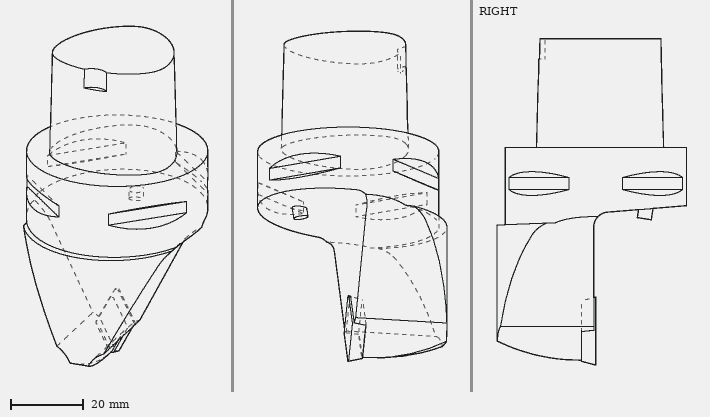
import cadquery as cq
import math

SHANK_HEIGHT = 30.0
SHANK_RADIUS = 17.55
SHANK_LOBE = 1.2
SHANK_TAPER = 0.025
SHANK_POINTS = 48
KEYWAY_RADIUS = 4.4
KEYWAY_DEPTH = 5.6
KEYWAY_BACK_Y = -13.95

FLANGE_RADIUS = 25.0
FLANGE_HEIGHT = 20.8
GROOVE_Z = -10.0
GROOVE_FLOOR_DISTANCE = 22.1
GROOVE_FLOOR_HEIGHT = 3.3
GROOVE_MOUTH_HEIGHT = 6.6

NECK_OFFSET_Y = -2.25
LEDGE_DROP = 0.6
LEDGE_START_Y = -11.25
FACE_Y = -0.5
SHOULDER_Z = -19.1
FLANK_TOP = (19.8, -24.1)
FLANK_BOTTOM = (7.0, -49.4)
NOSE_TOP_Z = -53.0
NOSE_APEX_Z = -58.7
RELIEF_START_Y = -4.5
RELIEF_BACK_Z = -53.4

UNDERSIDE_BACK_Z = -16.1
UNDERSIDE_FRONT = (3.15, -17.9)
UNDERSIDE_ARC_END_Z = -21.7

NOZZLE_DIAMETER = 4.0
NOZZLE_Y = 13.8
NOZZLE_LENGTH = 2.7
NOZZLE_ROOT = 0.9
NOZZLE_TILT = 9.0

INSERT_POINT_ANGLE = 55.0
INSERT_CIRCLE = 9.5
INSERT_THICKNESS = 4.0
INSERT_CLEARANCE = 7.0
INSERT_CORNER_RADIUS = 0.8
TIP_Z = SHANK_HEIGHT - 90.0

HALF_POINT = math.radians(INSERT_POINT_ANGLE / 2)
MARGIN = 9.0


def lobed_wire(mean_radius, z):
    """Three-lobed outline with one lobe towards +Y, drawn from its support function."""
    points = []
    for i in range(SHANK_POINTS):
        angle = 2 * math.pi * i / SHANK_POINTS
        phase = 3 * (angle - math.pi / 2)
        support = mean_radius + SHANK_LOBE * math.cos(phase)
        slope = -3 * SHANK_LOBE * math.sin(phase)
        x = support * math.cos(angle) - slope * math.sin(angle)
        y = support * math.sin(angle) + slope * math.cos(angle)
        points.append(cq.Vector(x, y, z))
    return cq.Wire.assembleEdges([cq.Edge.makeSpline(points, periodic=True)])


def make_shank():
    top_radius = SHANK_RADIUS - SHANK_TAPER * SHANK_HEIGHT
    wires = [lobed_wire(SHANK_RADIUS, 0), lobed_wire(top_radius, SHANK_HEIGHT)]
    shank = cq.Workplane(cq.Solid.makeLoft(wires, True))
    keyway = (
        cq.Workplane("XY", origin=(0, KEYWAY_BACK_Y - KEYWAY_RADIUS, SHANK_HEIGHT - KEYWAY_DEPTH))
        .circle(KEYWAY_RADIUS)
        .extrude(KEYWAY_DEPTH + MARGIN)
    )
    return shank.cut(keyway)


def gripper_groove(angle):
    """Straight groove with sloping walls, cut across the flange rim."""
    depth = FLANGE_RADIUS - GROOVE_FLOOR_DISTANCE
    floor = GROOVE_FLOOR_HEIGHT / 2
    mouth = GROOVE_MOUTH_HEIGHT / 2
    return (
        cq.Workplane("XZ", origin=(GROOVE_FLOOR_DISTANCE, 0, GROOVE_Z))
        .polyline([(0, -floor), (depth, -mouth), (depth, mouth), (0, floor)])
        .close()
        .extrude(FLANGE_RADIUS, both=True)
        .rotate((0, 0, 0), (0, 0, 1), angle)
    )


def front_envelope():
    """V-shaped outline, extruded through the full depth in Y."""
    half_width = FLANGE_RADIUS + MARGIN
    nose_x = (NOSE_TOP_Z - NOSE_APEX_Z) * math.tan(HALF_POINT)
    half = (
        cq.Workplane("XZ")
        .moveTo(0, 0)
        .lineTo(0, NOSE_APEX_Z)
        .lineTo(nose_x, NOSE_TOP_Z)
        .tangentArcPoint(FLANK_BOTTOM, relative=False)
        .lineTo(*FLANK_TOP)
        .tangentArcPoint((FLANGE_RADIUS, SHOULDER_Z), relative=False)
        .lineTo(half_width, SHOULDER_Z)
        .lineTo(half_width, 0)
        .close()
        .extrude(2 * FLANGE_RADIUS, both=True)
    )
    return half.union(half.mirror("YZ"))


def side_envelope():
    """Side outline: sloped underside, flat front face and curved relief under the nose."""
    back_y = NECK_OFFSET_Y - FLANGE_RADIUS
    return (
        cq.Workplane("YZ")
        .moveTo(back_y, 0)
        .lineTo(FLANGE_RADIUS, 0)
        .lineTo(FLANGE_RADIUS, UNDERSIDE_BACK_Z)
        .lineTo(*UNDERSIDE_FRONT)
        .tangentArcPoint((FACE_Y, UNDERSIDE_ARC_END_Z), relative=False)
        .lineTo(FACE_Y, NOSE_APEX_Z)
        .lineTo(RELIEF_START_Y, NOSE_APEX_Z)
        .tangentArcPoint((back_y, RELIEF_BACK_Z), relative=False)
        .close()
        .extrude(2 * FLANGE_RADIUS, both=True)
    )


def make_holder(insert):
    flange = cq.Workplane("XY").circle(FLANGE_RADIUS).extrude(-FLANGE_HEIGHT)
    neck = (
        cq.Workplane("XY", origin=(0, NECK_OFFSET_Y, -FLANGE_HEIGHT))
        .circle(FLANGE_RADIUS)
        .extrude(NOSE_APEX_Z + FLANGE_HEIGHT)
    )
    back_y = NECK_OFFSET_Y - FLANGE_RADIUS
    ledge_wedge = (
        cq.Workplane("YZ")
        .polyline([
            (LEDGE_START_Y, -FLANGE_HEIGHT),
            (back_y, -FLANGE_HEIGHT),
            (back_y, -FLANGE_HEIGHT - LEDGE_DROP),
        ])
        .close()
        .extrude(FLANGE_RADIUS, both=True)
        .cut(cq.Workplane("XY").circle(FLANGE_RADIUS).extrude(NOSE_APEX_Z))
    )
    neck = neck.cut(ledge_wedge)
    body = flange.union(neck).intersect(front_envelope()).intersect(side_envelope())
    for angle in (45, 135, 225, 315):
        body = body.cut(gripper_groove(angle))
    return body.union(make_shank()).union(make_nozzle()).cut(insert)


def make_nozzle():
    """Round stub under the flange, leaning towards the insert."""
    run = FLANGE_RADIUS - UNDERSIDE_FRONT[0]
    slope = (UNDERSIDE_BACK_Z - UNDERSIDE_FRONT[1]) / run
    root_z = UNDERSIDE_BACK_Z - slope * (FLANGE_RADIUS - NOZZLE_Y)
    tilt = math.radians(NOZZLE_TILT)
    direction = cq.Vector(0, -math.sin(tilt), -math.cos(tilt))
    plane = cq.Plane(origin=(0, NOZZLE_Y, root_z), xDir=(1, 0, 0), normal=direction)
    return (
        cq.Workplane(plane)
        .workplane(offset=-NOZZLE_ROOT)
        .circle(NOZZLE_DIAMETER / 2)
        .extrude(NOZZLE_ROOT + NOZZLE_LENGTH)
    )


def make_insert():
    """Rhombic plate tapering away from its cutting face, point down."""
    half_length = INSERT_CIRCLE / 2 / math.sin(HALF_POINT)
    half_width = INSERT_CIRCLE / 2 / math.cos(HALF_POINT)
    rounding_loss = INSERT_CORNER_RADIUS * (1 / math.sin(HALF_POINT) - 1)
    center_z = TIP_Z - rounding_loss + half_length
    return (
        cq.Workplane("XZ", origin=(0, 0, center_z))
        .polyline([(0, -half_length), (half_width, 0), (0, half_length), (-half_width, 0)])
        .close()
        .extrude(INSERT_THICKNESS, taper=INSERT_CLEARANCE)
        .edges("not #Y")
        .fillet(INSERT_CORNER_RADIUS)
    )


insert = make_insert()
holder = make_holder(insert)
result = cq.Compound.makeCompound([holder.val(), insert.val()])